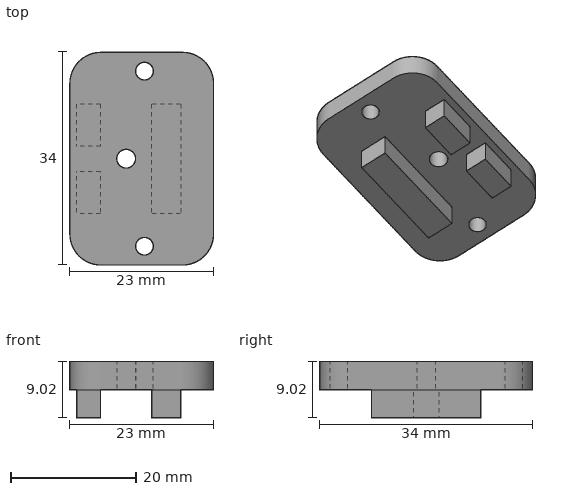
import cadquery as cq

plate_width = 23.0
plate_length = 34.0
plate_thickness = 4.52
corner_radius = 5.0

block_height = 4.5
blocks_length = 17.48
left_gap = 4.0
left_block_start = -10.37
left_block_end = -6.55
right_block_start = 1.55
right_block_end = 6.25

end_hole_diameter = 2.8
end_hole_x = 0.45
end_hole_y = 13.97
middle_hole_diameter = 2.95
middle_hole_x = -2.48


def block(x_start, x_end, y_center, length):
    """Box hanging from the plate's underside, which lies at Z = 0."""
    return (
        cq.Workplane("XY")
        .center((x_start + x_end) / 2, y_center)
        .rect(x_end - x_start, length)
        .extrude(-block_height)
    )


result = (
    cq.Workplane("XY")
    .rect(plate_width, plate_length)
    .extrude(plate_thickness)
    .edges("|Z")
    .fillet(corner_radius)
)

left_block_length = (blocks_length - left_gap) / 2
left_block_y = (left_gap + left_block_length) / 2
for side in (-1, 1):
    result = result.union(
        block(left_block_start, left_block_end, side * left_block_y, left_block_length)
    )

result = result.union(block(right_block_start, right_block_end, 0, blocks_length))

result = (
    result.faces(">Z")
    .workplane(origin=(0, 0, plate_thickness))
    .pushPoints([(end_hole_x, -end_hole_y), (end_hole_x, end_hole_y)])
    .hole(end_hole_diameter, plate_thickness)
)
result = (
    result.faces(">Z")
    .workplane(origin=(0, 0, plate_thickness))
    .center(middle_hole_x, 0)
    .hole(middle_hole_diameter, plate_thickness)
)